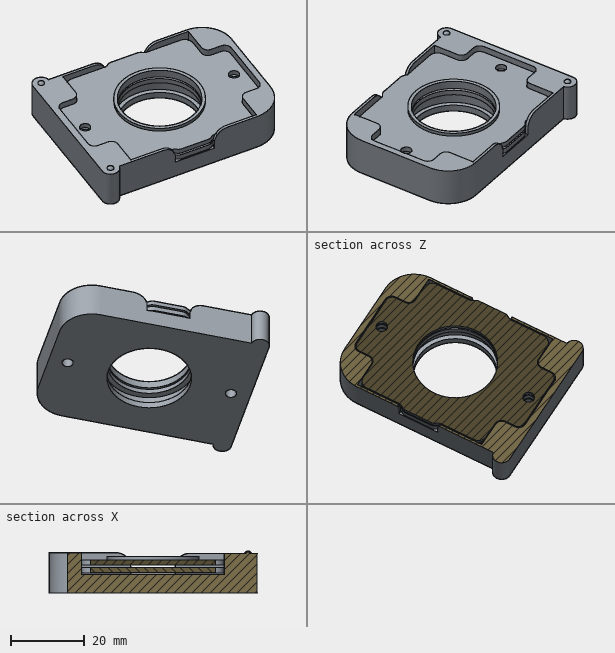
import cadquery as cq
import math

body_width = 40.4
body_length = 56.45
rear_height = 11.0
front_height = 10.8
rear_corner_radius = 9.0
half_body = body_width / 2
bore_offset = 0.075
front_y = -body_length / 2 - bore_offset
rear_y = front_y + body_length

lug_radius = 2.5
lug_span = 44.6
lug_x = lug_span / 2 - lug_radius
lug_flat = 0.05
lug_y = front_y + lug_radius + lug_flat
dome_radius = 1.0
dome_top = 11.45

pocket_floor = 5.1
pocket_width = 38.8
pocket_shoulder_length = 38.6
pocket_tab_width = 20.0
pocket_tab_length = 52.7
cross_fillet = 2.0

notch_width = 12.0
notch_arc_base = 7.0

bore_diameter = 22.9
seat_diameter = 25.4
seat_floor = 2.0
screw_hole_diameter = 3.0
screw_hole_spacing = 45.8

side_clearance = 0.2
end_clearance = 0.2
tab_clearance = 0.1
shoulder_clearance = 0.05
plate_half_width = pocket_width / 2 - side_clearance
plate_corner_radius = 2.5
lower_plate_bottom = 5.5
lower_plate_top = 7.0
upper_plate_bottom = 7.6
upper_plate_top = 9.05
rim_diameter = 24.9
rim_top = 10.0
ear_flat_length = 7.9
ear_blend_radius = 2.25


def cross_prism(core_x, core_y, tab_width, tab_length, height):
    """Rectangle with a tab on its front and rear sides, the tab corners rounded inside and out."""
    core = cq.Workplane("XY").rect(core_x, core_y).extrude(height)
    tab = cq.Workplane("XY").rect(tab_width, tab_length).extrude(height)
    tab = tab.edges("|Z").fillet(cross_fillet)
    cross = core.union(tab)
    corner_margin = cross_fillet / 2
    inner_corners = cq.selectors.BoxSelector(
        (-tab_width / 2 - corner_margin, -core_y / 2 - corner_margin, 0),
        (tab_width / 2 + corner_margin, core_y / 2 + corner_margin, height),
    )
    return cross.edges("|Z").edges(inner_corners).fillet(cross_fillet)


def screw_holes(height):
    """Cutter for the pair of screw holes on the centre line."""
    half_spacing = screw_hole_spacing / 2
    points = [(0, -half_spacing), (0, half_spacing)]
    return cq.Workplane("XY").pushPoints(points).circle(screw_hole_diameter / 2).extrude(height)


def notch_cutter():
    """Slot across both side walls, flaring out in quarter arcs up to each wall top."""
    half_notch = notch_width / 2
    rear_radius = rear_height - notch_arc_base
    front_radius = front_height - notch_arc_base
    diagonal = math.sqrt(0.5)
    rear_mid = (
        half_notch + rear_radius * (1 - diagonal),
        notch_arc_base + rear_radius * diagonal,
    )
    front_mid = (
        -half_notch - front_radius * (1 - diagonal),
        notch_arc_base + front_radius * diagonal,
    )
    return (
        cq.Workplane("YZ")
        .moveTo(-half_notch, pocket_floor)
        .lineTo(half_notch, pocket_floor)
        .lineTo(half_notch, notch_arc_base)
        .threePointArc(rear_mid, (half_notch + rear_radius, rear_height))
        .lineTo(-half_notch - front_radius, rear_height)
        .lineTo(-half_notch - front_radius, front_height)
        .threePointArc(front_mid, (-half_notch, notch_arc_base))
        .close()
        .extrude(half_body, both=True)
    )


def make_block():
    """Plain block with large rear corners, its front half slightly lower than its rear half."""
    rear_length = rear_y
    front_length = -front_y
    block = cq.Workplane("XY").center(0, rear_length / 2).rect(body_width, rear_length)
    block = block.extrude(rear_height).edges("|Z and >Y").fillet(rear_corner_radius)
    front = cq.Workplane("XY").center(0, front_y + front_length / 2).rect(2 * lug_x, front_length)
    shoulder_length = -lug_y
    shoulder = cq.Workplane("XY").center(0, lug_y / 2).rect(body_width, shoulder_length)
    return block.union(front.extrude(front_height)).union(shoulder.extrude(front_height))


def make_lug(x):
    """Upright lug with a dome on top."""
    post = (
        cq.Workplane("XY")
        .center(x, lug_y - lug_flat / 2)
        .slot2D(2 * lug_radius + lug_flat, 2 * lug_radius, 90)
        .extrude(front_height)
    )
    dome = cq.Workplane("XY").sphere(dome_radius).translate((x, lug_y, dome_top - dome_radius))
    return post.union(dome)


def make_housing():
    block = make_block()
    for x in (-lug_x, lug_x):
        block = block.union(make_lug(x))

    pocket = cross_prism(
        pocket_width,
        pocket_shoulder_length,
        pocket_tab_width,
        pocket_tab_length,
        rear_height - pocket_floor,
    ).translate((0, 0, pocket_floor))
    bore = cq.Workplane("XY").circle(bore_diameter / 2).extrude(rear_height)
    seat = (
        cq.Workplane("XY", origin=(0, 0, seat_floor))
        .circle(seat_diameter / 2)
        .extrude(rear_height - seat_floor)
    )
    return (
        block.cut(pocket).cut(notch_cutter()).cut(bore).cut(seat).cut(screw_holes(rear_height))
    )


def ears(height):
    """Bar across the plate whose ends swell out to the housing sides through S-shaped blends."""
    ear_reach = half_body - plate_half_width
    turn = math.acos(1 - ear_reach / 2 / ear_blend_radius)
    run = ear_blend_radius * math.sin(turn)
    half_flat = ear_flat_length / 2
    mid_x = plate_half_width + ear_reach / 2
    half_run = ear_blend_radius * math.sin(turn / 2)
    half_sag = ear_blend_radius * (1 - math.cos(turn / 2))
    root_y = half_flat + 2 * run
    inner_mid_x = plate_half_width + half_sag
    outer_mid_x = half_body - half_sag
    return (
        cq.Workplane("XY")
        .moveTo(0, -root_y)
        .lineTo(plate_half_width, -root_y)
        .threePointArc((inner_mid_x, -root_y + half_run), (mid_x, -half_flat - run))
        .threePointArc((outer_mid_x, -half_flat - half_run), (half_body, -half_flat))
        .lineTo(half_body, half_flat)
        .threePointArc((outer_mid_x, half_flat + half_run), (mid_x, half_flat + run))
        .threePointArc((inner_mid_x, root_y - half_run), (plate_half_width, root_y))
        .lineTo(0, root_y)
        .close()
        .extrude(height)
        .mirror("YZ", union=True)
    )


def make_plate(bottom, top):
    """Cross-shaped plate with rounded corners, side ears, bore and screw holes."""
    thickness = top - bottom
    core_y = pocket_shoulder_length - 2 * shoulder_clearance
    plate = cross_prism(
        2 * plate_half_width,
        core_y,
        pocket_tab_width - 2 * tab_clearance,
        pocket_tab_length - 2 * end_clearance,
        thickness,
    )
    plate = plate.edges("|Z and (<X or >X)").fillet(plate_corner_radius)
    plate = plate.union(ears(thickness))
    bore = cq.Workplane("XY").circle(bore_diameter / 2).extrude(thickness)
    plate = plate.cut(bore).cut(screw_holes(thickness))
    return plate.translate((0, 0, bottom))


def make_lower_plate():
    return make_plate(lower_plate_bottom, lower_plate_top)


def make_upper_plate():
    rim = (
        cq.Workplane("XY", origin=(0, 0, upper_plate_top))
        .circle(rim_diameter / 2)
        .circle(bore_diameter / 2)
        .extrude(rim_top - upper_plate_top)
    )
    return make_plate(upper_plate_bottom, upper_plate_top).union(rim)


housing = make_housing()
lower_plate = make_lower_plate()
upper_plate = make_upper_plate()

result = cq.Compound.makeCompound([housing.val(), lower_plate.val(), upper_plate.val()])